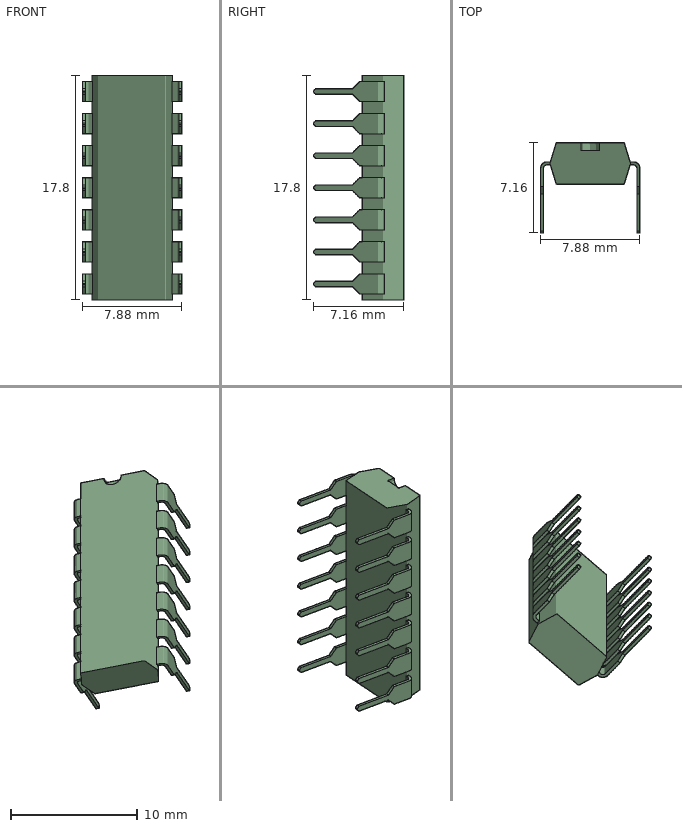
import cadquery as cq

BODY_LENGTH = 17.78
BODY_DEPTH = 3.3
BODY_WIDTH = 6.4
FACE_WIDTH = 5.39
EDGE_RADIUS = 0.1

NOTCH_RADIUS = 0.73
NOTCH_DEPTH = 0.64

LEADS_PER_ROW = 7
LEAD_PITCH = BODY_LENGTH / LEADS_PER_ROW
LEAD_THICKNESS = 0.25
LEAD_SPAN = 7.88
LEAD_TIP_Y = -5.51
BEND_RADIUS = 0.52
LEAD_EMBED = 0.35

SHOULDER_WIDTH = 1.62
SHOULDER_END_Y = -1.85
TAPER_END_Y = -2.42
PIN_WIDTH = 0.46
TIP_CHAMFER = 0.18


def make_body():
    """Hexagonal bar with rounded long edges and an index notch."""
    half_depth = BODY_DEPTH / 2
    half_face = FACE_WIDTH / 2
    half_width = BODY_WIDTH / 2
    body = (
        cq.Workplane("XY")
        .workplane(offset=-BODY_LENGTH / 2)
        .moveTo(-half_face, -half_depth)
        .lineTo(half_face, -half_depth)
        .lineTo(half_width, 0)
        .lineTo(half_face, half_depth)
        .lineTo(-half_face, half_depth)
        .lineTo(-half_width, 0)
        .close()
        .extrude(BODY_LENGTH)
        .edges("|Z")
        .fillet(EDGE_RADIUS)
    )
    notch = (
        cq.Workplane("XZ", origin=(0, half_depth, BODY_LENGTH / 2))
        .circle(NOTCH_RADIUS)
        .extrude(NOTCH_DEPTH)
    )
    return body.cut(notch)


def make_lead():
    """One right-hand lead, centred on Z = 0."""
    outer_x = LEAD_SPAN / 2
    inner_x = outer_x - LEAD_THICKNESS
    root_x = BODY_WIDTH / 2 - LEAD_EMBED
    top_y = LEAD_THICKNESS / 2
    bend_y = top_y - BEND_RADIUS
    bend_x = outer_x - BEND_RADIUS
    strip = (
        cq.Workplane("XY")
        .workplane(offset=-SHOULDER_WIDTH / 2)
        .moveTo(root_x, top_y)
        .lineTo(bend_x, top_y)
        .tangentArcPoint((outer_x, bend_y), relative=False)
        .lineTo(outer_x, LEAD_TIP_Y)
        .lineTo(inner_x, LEAD_TIP_Y)
        .lineTo(inner_x, bend_y)
        .tangentArcPoint((bend_x, -top_y), relative=False)
        .lineTo(root_x, -top_y)
        .close()
        .extrude(SHOULDER_WIDTH)
    )

    half_shoulder = SHOULDER_WIDTH / 2
    half_pin = PIN_WIDTH / 2
    half_tip = half_pin - TIP_CHAMFER
    outline = (
        cq.Workplane("YZ")
        .moveTo(top_y, half_shoulder)
        .lineTo(SHOULDER_END_Y, half_shoulder)
        .lineTo(TAPER_END_Y, half_pin)
        .lineTo(LEAD_TIP_Y + TIP_CHAMFER, half_pin)
        .lineTo(LEAD_TIP_Y, half_tip)
        .lineTo(LEAD_TIP_Y, 0)
        .lineTo(top_y, 0)
        .close()
        .extrude(outer_x)
    )
    outline = outline.union(outline.mirror("XY"))
    return strip.intersect(outline)


result = make_body()
right_lead = make_lead()
left_lead = right_lead.mirror("YZ")
for index in range(LEADS_PER_ROW):
    lead_z = (index - (LEADS_PER_ROW - 1) / 2) * LEAD_PITCH
    for lead in (right_lead, left_lead):
        result = result.union(lead.translate((0, 0, lead_z)))